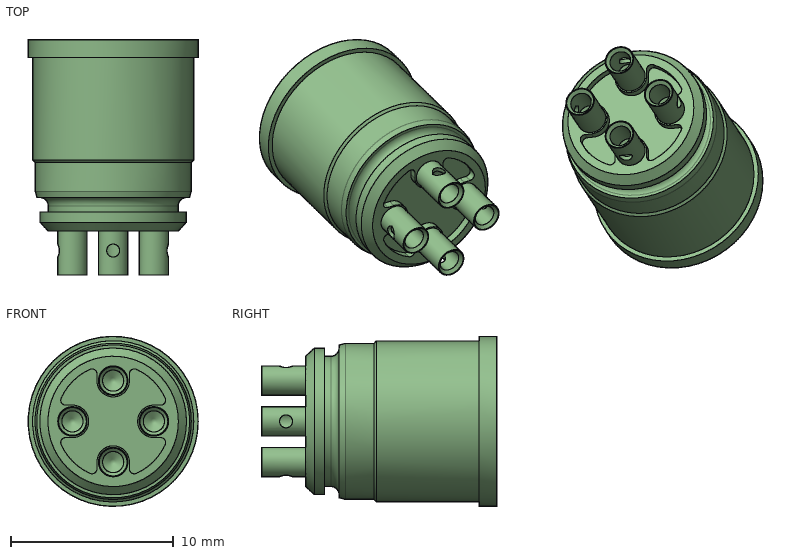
import cadquery as cq
import math

TOTAL_LENGTH = 14.45
PIN_LENGTH = 2.7
BODY_LENGTH = TOTAL_LENGTH - PIN_LENGTH

FLANGE_DIA = 10.45
BARREL_DIA = 9.9
COLLAR_DIA = 9.6
RING_DIA = 9.0
GROOVE_DIA = 8.0

RING_CHAMFER_LENGTH = 0.53
RING_BACK = 1.17
GROOVE_BACK = 2.05
COLLAR_TAPER_LENGTH = 0.39
COLLAR_TAPER_ANGLE = 15.0
BARREL_FRONT = 4.35
FLANGE_LENGTH = 1.1
GROOVE_FILLET = 0.5

PIN_COUNT = 4
PIN_CIRCLE_RADIUS = 2.5
PIN_DIA = 1.8
BORE_DIA = 1.3
BORE_DEPTH = 2.15
DRILL_POINT_ANGLE = 118.0
COUNTERSINK_DIA = 1.7
CROSS_HOLE_DIA = 0.8
CROSS_HOLE_FROM_TIP = 1.5

RECESS_RADIUS = 3.5
RECESS_DEPTH = 0.5
PIN_PAD_RADIUS = 1.0
RECESS_CORNER_RADIUS = 0.3


def make_body():
    """Turned body: flange, barrel, collar, groove and chamfered front ring."""
    ring_radius = RING_DIA / 2
    groove_radius = GROOVE_DIA / 2
    collar_radius = COLLAR_DIA / 2
    barrel_radius = BARREL_DIA / 2
    flange_radius = FLANGE_DIA / 2
    taper = COLLAR_TAPER_LENGTH * math.tan(math.radians(COLLAR_TAPER_ANGLE))
    shoulder = barrel_radius - collar_radius
    flange_front = BODY_LENGTH - FLANGE_LENGTH
    fillet_mid = GROOVE_FILLET * (1 - math.sqrt(0.5))

    profile = (
        cq.Workplane("XY")
        .lineTo(groove_radius, 0)
        .lineTo(ring_radius, RING_CHAMFER_LENGTH)
        .lineTo(ring_radius, RING_BACK)
        .lineTo(groove_radius, RING_BACK)
        .lineTo(groove_radius, GROOVE_BACK - GROOVE_FILLET)
        .threePointArc(
            (groove_radius + fillet_mid, GROOVE_BACK - fillet_mid),
            (groove_radius + GROOVE_FILLET, GROOVE_BACK),
        )
        .lineTo(collar_radius - taper, GROOVE_BACK)
        .lineTo(collar_radius, GROOVE_BACK + COLLAR_TAPER_LENGTH)
        .lineTo(collar_radius, BARREL_FRONT - shoulder)
        .lineTo(barrel_radius, BARREL_FRONT)
        .lineTo(barrel_radius, flange_front)
        .lineTo(flange_radius, flange_front)
        .lineTo(flange_radius, BODY_LENGTH)
        .lineTo(0, BODY_LENGTH)
        .close()
    )
    return profile.revolve(360, (0, 0, 0), (0, 1, 0))


def around_axis(shape):
    """Copies of a shape spaced evenly about the Y axis."""
    step = 360 / PIN_COUNT
    return [shape.rotate((0, 0, 0), (0, 1, 0), i * step) for i in range(PIN_COUNT)]


def cylinder_along_y(radius, start, length):
    """Cylinder about the Y axis, running toward +Y from the given start."""
    return cq.Workplane("XZ", origin=(0, start, 0)).circle(radius).extrude(-length)


def make_recess():
    """Round pocket that leaves a full-height, U-shaped pad around each pin."""
    pocket = cylinder_along_y(RECESS_RADIUS, 0, RECESS_DEPTH)
    pad_round = cylinder_along_y(PIN_PAD_RADIUS, 0, RECESS_DEPTH).translate((PIN_CIRCLE_RADIUS, 0, 0))
    pad_straight = (
        cq.Workplane("XY")
        .box(RECESS_RADIUS, RECESS_DEPTH, 2 * PIN_PAD_RADIUS, centered=(False, False, True))
        .translate((PIN_CIRCLE_RADIUS, 0, 0))
    )
    for pad in around_axis(pad_round.union(pad_straight)):
        pocket = pocket.cut(pad)
    reach = (PIN_CIRCLE_RADIUS + RECESS_RADIUS) / 2
    inner_region = cq.selectors.BoxSelector((-reach, -reach, -reach), (reach, reach, reach))
    lobe_corners = cq.selectors.ParallelDirSelector(cq.Vector(0, 1, 0)) - inner_region
    return pocket.edges(lobe_corners).fillet(RECESS_CORNER_RADIUS)


def make_pin():
    """Solid pin on the +X side, before its cup is bored."""
    return cylinder_along_y(PIN_DIA / 2, -PIN_LENGTH, PIN_LENGTH).translate((PIN_CIRCLE_RADIUS, 0, 0))


def make_cup():
    """Countersunk blind bore with a drill point, plus the cross hole on its outer side."""
    bore_radius = BORE_DIA / 2
    mouth_radius = COUNTERSINK_DIA / 2
    countersink_depth = mouth_radius - bore_radius
    point_length = bore_radius / math.tan(math.radians(DRILL_POINT_ANGLE / 2))
    bore = (
        cq.Workplane("XY")
        .lineTo(mouth_radius, 0)
        .lineTo(bore_radius, countersink_depth)
        .lineTo(bore_radius, BORE_DEPTH)
        .lineTo(0, BORE_DEPTH + point_length)
        .close()
        .revolve(360, (0, 0, 0), (0, 1, 0))
    )
    cross_hole = (
        cq.Workplane("YZ")
        .center(CROSS_HOLE_FROM_TIP, 0)
        .circle(CROSS_HOLE_DIA / 2)
        .extrude(PIN_DIA)
    )
    return bore.union(cross_hole).translate((PIN_CIRCLE_RADIUS, -PIN_LENGTH, 0))


result = make_body().cut(make_recess())
for pin in around_axis(make_pin()):
    result = result.union(pin)
for cup in around_axis(make_cup()):
    result = result.cut(cup)